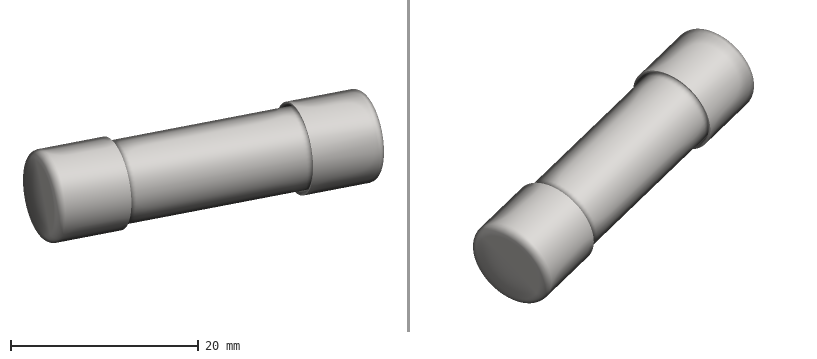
import cadquery as cq

length = 38.2

cap_diameter = 10.2
cap_length = 8.55
cap_end_radius = 0.95
cap_wall = 0.35
cap_floor = 0.55
rim_radius = 0.25
bore_diameter = cap_diameter - 2 * cap_wall

tube_diameter = 9.13
tube_length = length - 2 * cap_floor


def cylinder_along_y(diameter, start_y, end_y):
    """Solid cylinder on the Y axis from start_y to end_y."""
    return (
        cq.Workplane("XZ", origin=(0, end_y, 0))
        .circle(diameter / 2)
        .extrude(end_y - start_y)
    )


def make_tube():
    """Plain cylindrical body of the fuse."""
    return cylinder_along_y(tube_diameter, -tube_length / 2, tube_length / 2)


def make_front_cap():
    """Cup-shaped cap on the -Y end, bored slightly wider than the tube."""
    end_face_y = -length / 2
    floor_y = end_face_y + cap_floor
    rim_y = end_face_y + cap_length

    cap = cylinder_along_y(cap_diameter, end_face_y, rim_y)
    cap = cap.faces("<Y").edges().fillet(cap_end_radius)
    cap = cap.cut(cylinder_along_y(bore_diameter, floor_y, rim_y))

    inner_edge = cq.selectors.RadiusNthSelector(0)
    return cap.faces(">Y").edges(inner_edge).fillet(rim_radius)


tube = make_tube()

caps = []
for turn in (0, 180):
    cap = make_front_cap().rotate((0, 0, 0), (0, 0, 1), turn)
    caps.append(cap.val())

result = cq.Compound.makeCompound([tube.val(), *caps])